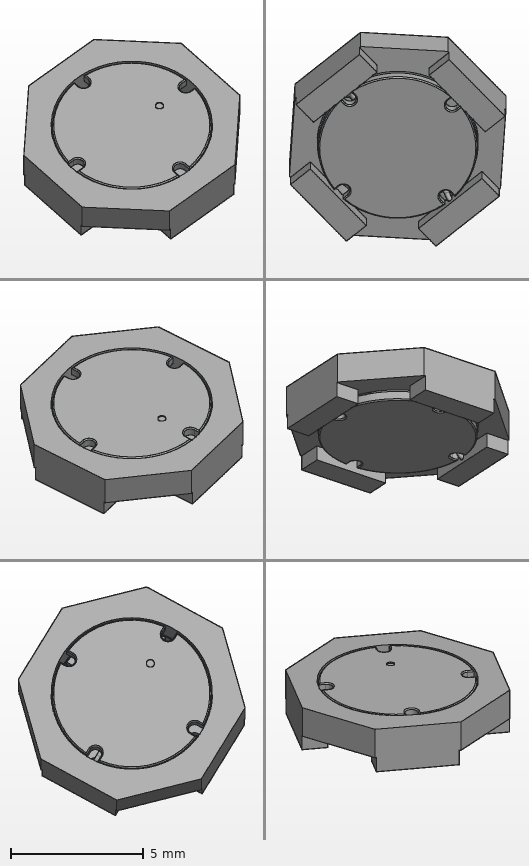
import cadquery as cq
import math

housing_width = 8.0
housing_height = 1.8
bore_diameter = 6.1
octagon_sides = 8
foot_height = 0.6
foot_width = 3.2
foot_depth = 1.0
foot_face = housing_width / 2 - foot_depth

flange_diameter = 2 * foot_face
flange_thickness = 0.36
core_bottom = 0.2
core_height = housing_height - core_bottom
post_diameter = 3.2
flange_chamfer = 0.05

notch_radius = 0.25
notch_depth = 0.5

dimple_diameter = 0.3
dimple_depth = 0.05
dimple_y = 1.41

wire_diameter = 0.2
bend_start = 2.51
bend_middle = 2.85
bend_angle = math.radians(70)
bend_radius = (bend_middle - bend_start) / math.sin(bend_angle)
front_wire_height = 0.77
back_wire_height = 0.68


def make_housing():
    """Octagonal ring with a through bore and a foot under the middle of each main side."""
    octagon_diameter = housing_width / math.cos(math.pi / octagon_sides)
    ring = (
        cq.Workplane("XY", origin=(0, 0, foot_height))
        .transformed(rotate=(0, 0, 180 / octagon_sides))
        .polygon(octagon_sides, octagon_diameter)
        .extrude(housing_height - foot_height)
    )
    bore = cq.Workplane("XY").circle(bore_diameter / 2).extrude(housing_height)
    body = ring.cut(bore)
    foot = (
        cq.Workplane("XY")
        .center(foot_face + foot_depth / 2, 0)
        .rect(foot_depth, foot_width)
        .extrude(foot_height)
    )
    for quarter in range(4):
        body = body.union(foot.rotate((0, 0, 0), (0, 0, 1), 90 * quarter))
    return body


def make_flange():
    """Flange with four rim notches and a chamfer around its upper outline, based at Z = 0."""
    flange = cq.Workplane("XY").circle(flange_diameter / 2).extrude(flange_thickness)
    notch_length = 2 * notch_depth
    notch = (
        cq.Workplane("XY")
        .center(flange_diameter / 2, 0)
        .slot2D(notch_length, 2 * notch_radius)
        .extrude(flange_thickness)
    )
    for quarter in range(4):
        flange = flange.cut(notch.rotate((0, 0, 0), (0, 0, 1), 90 * quarter))
    return flange.faces(">Z").chamfer(flange_chamfer)


def make_lead(height):
    """Wire lead along +Y: straight from the post, then an S-bend that ends at the foot's face."""
    half_bend = bend_angle / 2
    half_reach = bend_radius * math.sin(half_bend)
    half_drop = bend_radius * (1 - math.cos(half_bend))
    middle_drop = bend_radius * (1 - math.cos(bend_angle))
    bend_end = 2 * bend_middle - bend_start
    path = (
        cq.Workplane("YZ")
        .moveTo(0, height)
        .lineTo(bend_start, height)
        .threePointArc(
            (bend_start + half_reach, height - half_drop),
            (bend_middle, height - middle_drop),
        )
        .threePointArc(
            (bend_end - half_reach, height - 2 * middle_drop + half_drop),
            (bend_end, height - 2 * middle_drop),
        )
    )
    wire = cq.Workplane("XZ", origin=(0, 0, height)).circle(wire_diameter / 2).sweep(path)
    inside_feet = cq.Workplane("XY").rect(2 * foot_face, 2 * foot_face).extrude(housing_height)
    return wire.intersect(inside_feet)


def make_core():
    """Drum core with its post, two flanges, top dimple and two wire leads."""
    core = (
        cq.Workplane("XY", origin=(0, 0, core_bottom))
        .circle(post_diameter / 2)
        .extrude(core_height)
    )
    flange = make_flange()
    top_flange = flange.translate((0, 0, housing_height - flange_thickness))
    bottom_flange = flange.mirror("XY").translate((0, 0, core_bottom + flange_thickness))
    core = core.union(top_flange).union(bottom_flange)
    dimple = (
        cq.Workplane("XY", origin=(0, dimple_y, housing_height - dimple_depth))
        .circle(dimple_diameter / 2)
        .extrude(dimple_depth)
    )
    back_lead = make_lead(back_wire_height)
    front_lead = make_lead(front_wire_height).mirror("XZ")
    return core.cut(dimple).union(back_lead).union(front_lead)


housing = make_housing()
core = make_core()
result = cq.Compound.makeCompound([housing.val(), core.val()])